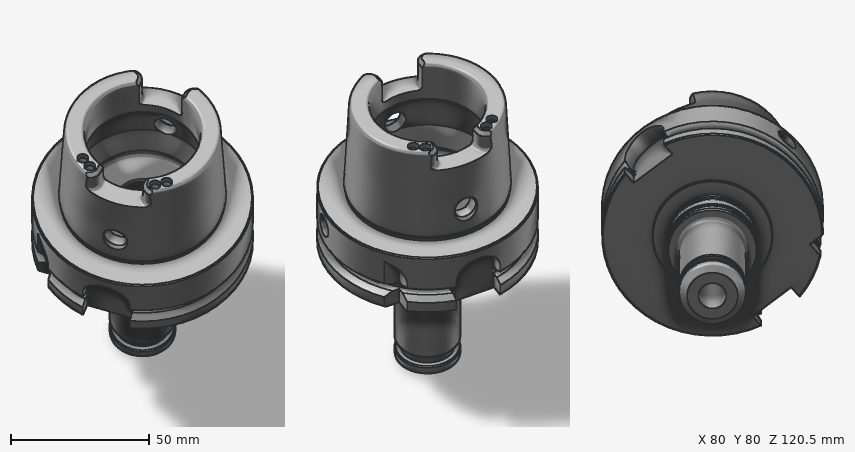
import cadquery as cq
import math


taper_height = 40.0
gauge_diameter = 60.0
gauge_height = 7.5
taper_slope = 0.05
rim_round = 1.8
relief_height = 1.9
relief_radius = 29.9
relief_slope = 1.1

flange_radius = 80.0 / 2
flange_height = 26.0
flange_chamfer = 0.5
face_ring_radius = 32.9
face_ring_depth = 0.4
face_ring_inner_radius = 31.0
groove_center = -18.0
groove_radius = 35.0
groove_fillet = 0.4
groove_shoulder_radius = 37.4
groove_half_width = 1.7
groove_flank_angle = 30.0

total_length = 120.5
boss_radius = 21.8
boss_height = 0.7
boss_chamfer = 0.4
collar_radius = 32.5 / 2
collar_bottom = -39.9
collar_chamfer = 0.4
collar_chamfer_height = 1.1
ring_depth = 0.4
ring_width = 1.9
ring_slope = 0.7
upper_ring_top = -28.4
lower_ring_top = -34.7
shank_radius = 24.0 / 2
shank_fillet = 1.6
neck_radius = 19.5 / 2
neck_top = -71.1
neck_bottom = -75.3
neck_chamfer = 0.5
tip_radius = 18.3 / 2
tip_chamfer_height = 1.8
tip_round = 1.2

bore_radius = 42.0 / 2
cavity_radius = 50.0 / 2
clamp_edge_height = 23.9
clamp_cone_angle = 60.0
cavity_end_height = 8.1
recess_radius = 21.0
recess_cone_angle = 30.0
recess_depth = 2.4
recess_fillet = 1.8
socket_radius = 18.3 / 2
socket_mouth_radius = 19.5 / 2
socket_depth = 12.0
through_radius = 10.0 / 2

slot_half_width = 8.2
slot_corner_radius = 4.1
slot_outer_flat = 25.8
slot_floor_fillet = 1.8
slot_edge_chamfer = 1.5
front_slot_floor = 31.9
back_slot_floor = 28.0

cross_hole_diameter = 8.5
cross_hole_mouth_diameter = 10.2
cross_hole_height = 11.9
rim_hole_diameter = 4.0
rim_hole_circle_radius = 25.1
rim_hole_angles = (50, 60)
rim_hole_depth = 2.4
drill_point_height = 1.2
chip_hole_diameter = 8.5
chip_hole_height = -6.7
chip_hole_depth = 3.0
chip_hole_angle = 8.0

keyway_half_width = 9.0
keyway_top = -3.9
keyway_floor = 34.0
notch_side = 25.1

bottom = taper_height - total_length


def taper_radius(z):
    return gauge_diameter / 2 - taper_slope * (z - gauge_height)


def revolve(points):
    return cq.Workplane("XZ").polyline(points).close().revolve(360, (0, 0), (0, 1))


def round_edge(body, radius, z, fillet):
    """Fillet the circular edge of the given radius that lies at height z around the axis."""
    def matches(edge):
        center = edge.Center()
        return (
            edge.geomType() == "CIRCLE"
            and math.isclose(edge.radius(), radius, abs_tol=0.0001)
            and math.isclose(center.z, z, abs_tol=0.0001)
        )

    return body.newObject([body.val().fillet(fillet, [e for e in body.edges().vals() if matches(e)])])


def ring_groove(top, slope_at_top):
    """Shallow collar groove with one square wall and one sloping wall."""
    low = top - ring_width
    floor = collar_radius - ring_depth
    if slope_at_top:
        upper, lower = top - ring_slope, low
    else:
        upper, lower = top, low + ring_slope
    return [(collar_radius, top), (floor, upper), (floor, lower), (collar_radius, low)]


def turned_body():
    flank = (flange_radius - groove_shoulder_radius) * math.tan(math.radians(groove_flank_angle))
    mouth = groove_half_width + flank
    boss_bottom = -flange_height - boss_height
    outline = [
        (0, taper_height),
        (taper_radius(taper_height), taper_height),
        (taper_radius(relief_height), relief_height),
        (relief_radius, relief_height - relief_slope),
        (relief_radius, -face_ring_depth),
        (face_ring_inner_radius, -face_ring_depth),
        (face_ring_radius, 0),
        (flange_radius - flange_chamfer, 0),
        (flange_radius, -flange_chamfer),
        (flange_radius, groove_center + mouth),
        (groove_shoulder_radius, groove_center + groove_half_width),
        (groove_radius, groove_center + groove_half_width),
        (groove_radius, groove_center - groove_half_width),
        (groove_shoulder_radius, groove_center - groove_half_width),
        (flange_radius, groove_center - mouth),
        (flange_radius, flange_chamfer - flange_height),
        (flange_radius - flange_chamfer, -flange_height),
        (boss_radius, -flange_height),
        (boss_radius, boss_bottom + boss_chamfer),
        (boss_radius - boss_chamfer, boss_bottom),
        (collar_radius, boss_bottom),
        *ring_groove(upper_ring_top, True),
        *ring_groove(lower_ring_top, False),
        (collar_radius, collar_bottom + collar_chamfer_height),
        (collar_radius - collar_chamfer, collar_bottom),
        (shank_radius, collar_bottom),
        (shank_radius, neck_top + neck_chamfer),
        (shank_radius - neck_chamfer, neck_top),
        (neck_radius, neck_top),
        (neck_radius, neck_bottom),
        (shank_radius - neck_chamfer, neck_bottom),
        (shank_radius, neck_bottom - neck_chamfer),
        (shank_radius, bottom + tip_chamfer_height),
        (tip_radius, bottom),
        (0, bottom),
    ]
    body = revolve(outline)
    body = round_edge(body, taper_radius(taper_height), taper_height, rim_round)
    for z in (groove_center + groove_half_width, groove_center - groove_half_width):
        body = round_edge(body, groove_radius, z, groove_fillet)
    body = round_edge(body, shank_radius, collar_bottom, shank_fillet)
    return round_edge(body, shank_radius, bottom + tip_chamfer_height, tip_round)


def bore():
    cone_height = (cavity_radius - bore_radius) / math.tan(math.radians(clamp_cone_angle))
    recess_cone_height = (cavity_radius - recess_radius) / math.tan(math.radians(recess_cone_angle))
    recess_top = cavity_end_height - recess_cone_height
    recess_floor = recess_top - recess_depth
    mouth_chamfer = socket_mouth_radius - socket_radius
    hollow = revolve([
        (0, taper_height),
        (bore_radius, taper_height),
        (bore_radius, clamp_edge_height),
        (cavity_radius, clamp_edge_height - cone_height),
        (cavity_radius, cavity_end_height),
        (recess_radius, recess_top),
        (recess_radius, recess_floor),
        (socket_mouth_radius, recess_floor),
        (socket_radius, recess_floor - mouth_chamfer),
        (socket_radius, recess_floor - socket_depth),
        (through_radius, recess_floor - socket_depth),
        (through_radius, bottom),
        (0, bottom),
    ])
    return round_edge(hollow, recess_radius, recess_floor, recess_fillet)


def drive_slot(floor):
    """Slot through the -Y rim: straight walls that round outwards, filleted floor, chamfered top edges."""
    center_x = slot_half_width + slot_corner_radius
    center_y = slot_outer_flat - slot_corner_radius
    reach = slot_corner_radius * math.sqrt(0.5)
    outer_x = center_x + 2 * slot_corner_radius
    outer_y = flange_radius

    def profile(z):
        return (
            cq.Workplane("XY", origin=(0, 0, z))
            .moveTo(-slot_half_width, 0)
            .lineTo(slot_half_width, 0)
            .lineTo(slot_half_width, -center_y)
            .threePointArc((center_x - reach, -center_y - reach), (center_x, -slot_outer_flat))
            .lineTo(outer_x, -slot_outer_flat)
            .lineTo(outer_x, -outer_y)
            .lineTo(-outer_x, -outer_y)
            .lineTo(-outer_x, -slot_outer_flat)
            .lineTo(-center_x, -slot_outer_flat)
            .threePointArc((reach - center_x, -center_y - reach), (-slot_half_width, -center_y))
            .close()
        )

    slot = profile(floor).extrude(taper_height - floor).faces("<Z").edges().fillet(slot_floor_fillet)
    flare = profile(taper_height - slot_edge_chamfer).extrude(slot_edge_chamfer, taper=-45)
    return slot.union(flare)


def cross_hole():
    """Hole along Y through both taper walls, countersunk at 45 degrees where it leaves the taper."""
    radius = cross_hole_diameter / 2
    mouth_radius = cross_hole_mouth_diameter / 2
    mouth_y = taper_radius(cross_hole_height)
    sink_y = mouth_y - (mouth_radius - radius)
    outer_y = 2 * mouth_y - sink_y
    outer_radius = radius + outer_y - sink_y
    profile = cq.Workplane("YZ", origin=(0, 0, cross_hole_height)).polyline([
        (-outer_y, 0),
        (-outer_y, outer_radius),
        (-sink_y, radius),
        (sink_y, radius),
        (outer_y, outer_radius),
        (outer_y, 0),
    ])
    return profile.close().revolve(360, (0, 0), (1, 0))


def rim_holes():
    """Pairs of short drilled holes beside the front drive slot."""
    radius = rim_hole_diameter / 2
    drill = revolve([
        (0, taper_height),
        (radius, taper_height),
        (radius, taper_height - rim_hole_depth),
        (0, taper_height - rim_hole_depth - drill_point_height),
    ])
    holes = cq.Workplane()
    for angle in rim_hole_angles:
        y = -rim_hole_circle_radius * math.sin(math.radians(angle))
        x = rim_hole_circle_radius * math.cos(math.radians(angle))
        holes = holes.add(drill.translate((x, y, 0))).add(drill.translate((-x, y, 0)))
    return holes.combine()


def chip_hole():
    """Blind radial hole in the flange, turned from -X towards +Y."""
    hole = cq.Workplane("YZ", origin=(-flange_radius - 1.2, 0, chip_hole_height))
    hole = hole.circle(chip_hole_diameter / 2).extrude(chip_hole_depth + 1.2)
    return hole.rotate((0, 0, 0), (0, 0, 1), -chip_hole_angle)


def keyway(center_x, floor):
    """Round-topped slot milled along Y into the -Y side of the flange, open at the bottom."""
    center_z = keyway_top - keyway_half_width
    height = center_z + flange_height
    depth = flange_radius - floor
    plane = cq.Workplane("XZ", origin=(center_x, -floor, center_z))
    arch = plane.circle(keyway_half_width).extrude(depth)
    straight = plane.center(0, -height / 2).rect(2 * keyway_half_width, height).extrude(depth)
    return arch.union(straight)


front_keyway = keyway(0, keyway_floor)
back_keyway = front_keyway.mirror("XZ")
notch = keyway(-notch_side - keyway_half_width, notch_side)

hollow_body = round_edge(turned_body().cut(bore()), bore_radius, taper_height, rim_round)

result = (
    hollow_body
    .cut(cross_hole())
    .cut(drive_slot(front_slot_floor))
    .cut(drive_slot(back_slot_floor).mirror("XZ"))
    .cut(rim_holes())
    .cut(chip_hole())
    .cut(front_keyway)
    .cut(back_keyway)
    .cut(notch)
)